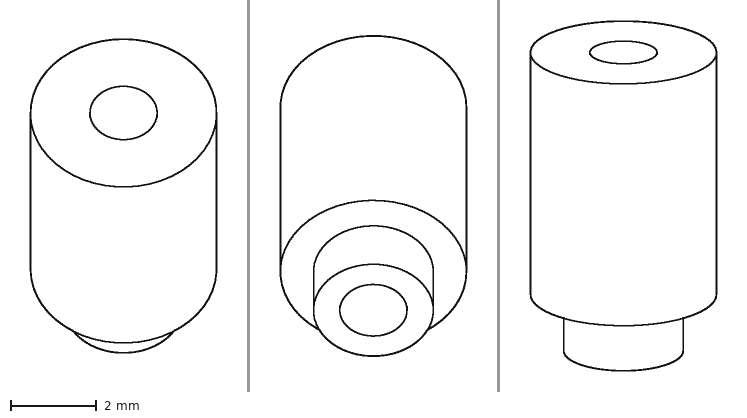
import cadquery as cq

body_diameter = 4.35
body_length = 6.0
spigot_diameter = 2.8
spigot_length = 1.4
bore_diameter = 1.57

total_length = spigot_length + body_length


def cylinder(diameter, bottom, length):
    """Upright cylinder centred on the Z axis, starting at height `bottom`."""
    return cq.Workplane("XY").workplane(offset=bottom).circle(diameter / 2).extrude(length)


spigot = cylinder(spigot_diameter, 0, spigot_length)
body = cylinder(body_diameter, spigot_length, body_length)
bore = cylinder(bore_diameter, 0, total_length)

result = spigot.union(body).cut(bore)